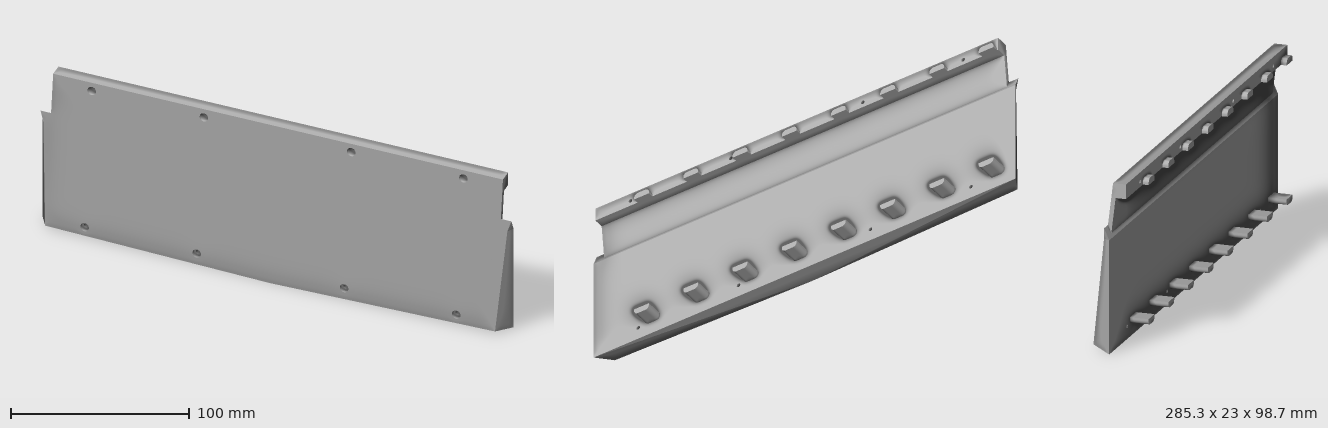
import cadquery as cq

wedge_width = 285.3
panel_width = 272.5
height = 98.7
front_reach = 12.0
panel_thickness = 2.5

wedge_back_top = 67.0
wedge_ridge = 74.0
side_taper = 0.55
corner_lift = 2.9

rail_depth = 7.7
rail_height = 8.5

tab_count = 8
first_tab_x = -130.5
last_tab_x = 102.7
tab_width = 10.0
tab_height = 3.7
tab_corner_radius = 2.5
tab_end = 11.0
low_tab_bottom = 7.7

insert_corner_x = 134.6
insert_side_x = 136.6
insert_bottom = 1.5
insert_top = 51.3
insert_edge_bow = 3.0
insert_thickness = panel_thickness

hole_diameter = 2.4
counterbore_diameter = 5.0
inner_hole_span = 89.3
outer_hole_span = 225.0
low_hole_z = 7.7
low_counterbore_depth = 1.7
high_hole_z = 93.5
high_counterbore_depth = 5.7


def front_y(z):
    """Y of the sloped front face at height z."""
    return -front_reach * (1 - z / height)


def side_point(side, z):
    """Point where a tapered side face meets the front face; side is -1 or 1."""
    y = front_y(z)
    return (side * (wedge_width / 2 + side_taper * y), y, z)


def polygon_face(points):
    wire = cq.Wire.makePolygon([cq.Vector(*p) for p in points], close=True)
    return cq.Face.makeFromWires(wire)


def prism_along_x(profile, width):
    """Closed (y, z) profile extruded symmetrically about the YZ plane."""
    return cq.Workplane("YZ").polyline(profile).close().extrude(width / 2, both=True)


def prism_along_y(profile, y_start, y_end):
    """Closed (x, z) profile extruded from y_start toward the rear to y_end."""
    plane = cq.Workplane("XZ", origin=(0, y_start, 0))
    return plane.polyline(profile).close().extrude(y_start - y_end)


def make_wedge():
    half = wedge_width / 2
    middle = (0, front_y(0), 0)
    bottom = {}
    back = {}
    ridge = {}
    corner = {}
    knee = {}
    for side in (-1, 1):
        bottom[side] = (side * half, 0, 0)
        back[side] = (side * half, 0, wedge_back_top)
        ridge[side] = (side * half, front_y(wedge_ridge), wedge_ridge)
        corner[side] = side_point(side, corner_lift)
        knee[side] = side_point(side, wedge_back_top)

    faces = [
        polygon_face([bottom[-1], bottom[1], middle]),
        polygon_face([bottom[-1], bottom[1], back[1], back[-1]]),
        polygon_face([back[-1], back[1], ridge[1], ridge[-1]]),
        polygon_face([corner[-1], middle, corner[1], knee[1], ridge[1], ridge[-1], knee[-1]]),
    ]
    for side in (-1, 1):
        faces.append(polygon_face([bottom[side], middle, corner[side]]))
        faces.append(polygon_face([bottom[side], corner[side], knee[side], back[side]]))
        faces.append(polygon_face([back[side], knee[side], ridge[side]]))
    solid = cq.Solid.makeSolid(cq.Shell.makeShell(faces))
    return cq.Workplane(solid.fix())


def make_panel():
    """Thin sloped panel with the rail along its top edge."""
    rail_bottom = height - rail_height
    profile = [
        (front_y(wedge_back_top), wedge_back_top),
        (front_y(height), height),
        (rail_depth, height),
        (rail_depth, rail_bottom),
        (front_y(rail_bottom) + panel_thickness, rail_bottom),
        (front_y(wedge_back_top) + panel_thickness, wedge_back_top),
    ]
    return prism_along_x(profile, panel_width)


def make_tab(x, flat_z, rounded_z, y_start):
    """Tab with a flat side at height flat_z and two rounded corners on its side at rounded_z."""
    outline = [
        (x - tab_width / 2, flat_z),
        (x + tab_width / 2, flat_z),
        (x + tab_width / 2, rounded_z),
        (x - tab_width / 2, rounded_z),
    ]
    tab = prism_along_y(outline, y_start, tab_end)
    rounded_side = ">Z" if rounded_z > flat_z else "<Z"
    return tab.faces(rounded_side).edges("|Y").fillet(tab_corner_radius)


def add_tabs(body):
    rail_bottom = height - rail_height
    low_tab_top = low_tab_bottom + tab_height
    tab_pitch = (last_tab_x - first_tab_x) / (tab_count - 1)
    for i in range(tab_count):
        x = first_tab_x + i * tab_pitch
        body = body.union(make_tab(x, rail_bottom, rail_bottom + tab_height, rail_depth))
        body = body.union(make_tab(x, low_tab_top, low_tab_bottom, 0))
    return body


def make_insert():
    middle_z = (insert_bottom + insert_top) / 2
    low_corner = insert_bottom + insert_edge_bow
    high_corner = insert_top - insert_edge_bow
    outline = [
        (0, insert_bottom),
        (insert_corner_x, low_corner),
        (insert_side_x, middle_z),
        (insert_corner_x, high_corner),
        (0, insert_top),
        (-insert_corner_x, high_corner),
        (-insert_side_x, middle_z),
        (-insert_corner_x, low_corner),
    ]
    layer = prism_along_x(
        [
            (front_y(0), 0),
            (front_y(height), height),
            (front_y(height) + insert_thickness, height),
            (front_y(0) + insert_thickness, 0),
        ],
        wedge_width,
    )
    return prism_along_y(outline, -front_reach, rail_depth).intersect(layer)


def make_cylinders(diameter, z, y_rear):
    """One row of cylinders along Y, from the foremost Y of the front face back to y_rear."""
    places = []
    for span in (inner_hole_span, outer_hole_span):
        places += [(-span / 2, z), (span / 2, z)]
    row = cq.Workplane("XZ", origin=(0, y_rear, 0)).pushPoints(places)
    return row.circle(diameter / 2).extrude(y_rear + front_reach)


def cut_holes(body):
    rows = [(low_hole_z, low_counterbore_depth), (high_hole_z, high_counterbore_depth)]
    for z, counterbore_depth in rows:
        body = body.cut(make_cylinders(hole_diameter, z, tab_end))
        body = body.cut(make_cylinders(counterbore_diameter, z, front_y(z) + counterbore_depth))
    return body


insert_blank = make_insert()

housing = add_tabs(make_wedge().union(make_panel()))
housing = cut_holes(housing.cut(insert_blank))
insert = cut_holes(insert_blank)

result = cq.Compound.makeCompound([*housing.solids().vals(), *insert.solids().vals()])